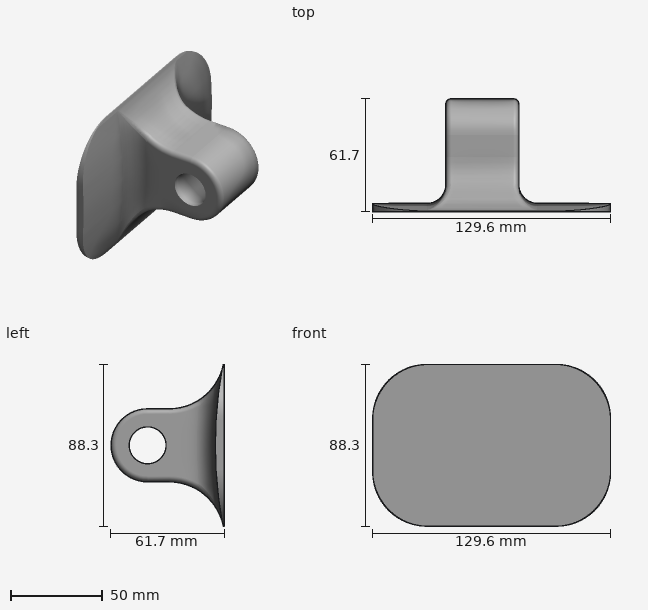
import cadquery as cq
import math

plate_width = 129.6
plate_height = 88.3
corner_radius = 30.0
dome_height = 4.8
rim_thickness = 0.6

depth = 61.7
lug_width = 39.9
lug_offset_x = -5.0
eye_radius = 20.0
hole_diameter = 20.0
flare_radius = 30.0
flare_start_y = 30.0
side_fillet = 10.0
edge_fillet = 3.0

eye_y = depth - eye_radius
half_height = plate_height / 2
blank_width = plate_width + 2 * abs(lug_offset_x)
flare_center_z = eye_radius + flare_radius


def flare_y(z):
    """Y of the concave flare at height z."""
    return flare_start_y - math.sqrt(flare_radius**2 - (flare_center_z - z) ** 2)


flare_end_y = flare_y(half_height)

rim_slope = (flare_center_z - half_height) / (flare_start_y - flare_end_y)
front_half_height = half_height - rim_slope * flare_end_y


def make_dome():
    """Plate blank whose back is an arc across its height."""
    return (
        cq.Workplane("YZ")
        .moveTo(0, -half_height)
        .lineTo(rim_thickness, -half_height)
        .threePointArc((dome_height, 0), (rim_thickness, half_height))
        .lineTo(0, half_height)
        .close()
        .extrude(blank_width / 2, both=True)
    )


def make_blank():
    """Domed blank with a full-height rib blended into it."""
    rib = cq.Workplane("XY").box(lug_width, depth, plate_height).translate((0, depth / 2, 0))
    blank = make_dome().union(rib)
    roots = cq.selectors.BoxSelector(
        (-lug_width, 0, -eye_radius),
        (lug_width, depth / 2, eye_radius),
    )
    return blank.edges("%CIRCLE").edges(roots).fillet(side_fillet)


def make_profile():
    """Side outline of plate, flares and eye, across the full width."""
    mid_z = flare_center_z - flare_radius * math.cos(math.pi / 4)
    mid_y = flare_start_y - flare_radius * math.sin(math.pi / 4)
    return (
        cq.Workplane("YZ")
        .moveTo(0, -half_height)
        .lineTo(flare_end_y, -half_height)
        .threePointArc((mid_y, -mid_z), (flare_start_y, -eye_radius))
        .lineTo(eye_y, -eye_radius)
        .threePointArc((depth, 0), (eye_y, eye_radius))
        .lineTo(flare_start_y, eye_radius)
        .threePointArc((mid_y, mid_z), (flare_end_y, half_height))
        .lineTo(0, half_height)
        .close()
        .extrude(blank_width / 2, both=True)
    )


def make_plate_outline():
    """Rounded outline, leaning with the rims, that trims the plate."""
    back_half_height = front_half_height + rim_slope * depth
    outline = (
        cq.Workplane("YZ")
        .moveTo(0, -front_half_height)
        .lineTo(depth, -back_half_height)
        .lineTo(depth, back_half_height)
        .lineTo(0, front_half_height)
        .close()
        .extrude(plate_width / 2, both=True)
    )
    corners = outline.faces("<X or >X").edges("not |Z")
    return corners.fillet(corner_radius)


def round_lug_edges(body):
    """Round the lug outline from the eye, along the neck and flares, until it fades out at the rim."""
    eye_region = cq.selectors.BoxSelector(
        (-lug_width, eye_y, -eye_radius),
        (lug_width, depth, eye_radius),
    )
    return body.edges("%CIRCLE").edges(eye_region).fillet(edge_fillet)


def make_hole():
    """Through hole across the lug, centred on the eye."""
    return (
        cq.Workplane("YZ")
        .center(eye_y, 0)
        .circle(hole_diameter / 2)
        .extrude(lug_width, both=True)
    )


body = make_blank().intersect(make_profile())
body = round_lug_edges(body)
body = body.translate((lug_offset_x, 0, 0))
body = body.intersect(make_plate_outline())
result = body.cut(make_hole())